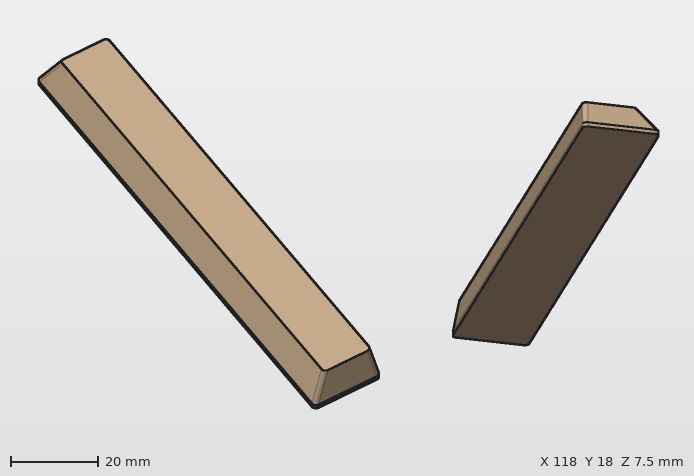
import cadquery as cq

length = 118.0
width = 18.0
height = 7.5
rim_height = 1.1
corner_radius = 1.1

end_inset = 3.0
front_inset = 4.5
back_inset = 0.7

top_length = length - 2 * end_inset
top_width = width - front_inset - back_inset
top_center_y = (front_inset - back_inset) / 2


def rounded_outline(size_x, size_y, center_y, z):
    """Rectangle with rounded corners, centred on X at the given height."""
    outline = cq.Sketch().rect(size_x, size_y).vertices().fillet(corner_radius)
    return outline.moved(cq.Location(cq.Vector(0, center_y, z)))


def make_rim():
    """Straight-sided band around the bottom."""
    outline = rounded_outline(length, width, 0, 0)
    return cq.Workplane("XY").placeSketch(outline).extrude(rim_height)


def make_cap():
    """Sloping body from the rim up to the offset flat top."""
    lower = rounded_outline(length, width, 0, rim_height)
    upper = rounded_outline(top_length, top_width, top_center_y, height)
    return cq.Workplane("XY").placeSketch(lower, upper).loft(ruled=True)


result = make_rim().union(make_cap())